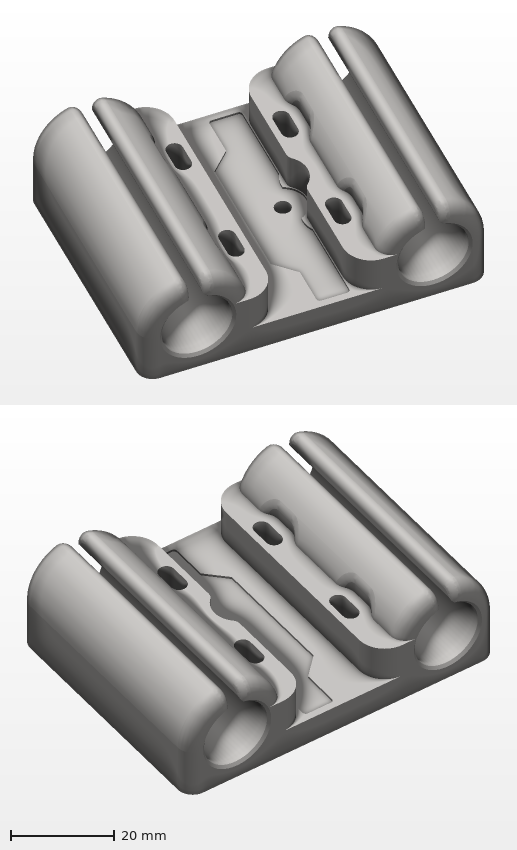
import cadquery as cq
import math

length_x = 56.8
width_y = 73.05
floor_z = 6.1
half_x = length_x / 2
half_y = width_y / 2

clip_radius = 11.6
bore_radius = 7.45
bore_chamfer = 0.6
axis_y = half_y - clip_radius
axis_z = 10.95
end_round = 3.5
mouth_width = 2.8
tip_outer_round = 1.75
tip_inner_round = 1.0

ledge_z = 14.1
ledge_face_y = 8.1
ledge_corner_radius = 6.0

slot_x = 12.9
slot_y = 11.25
slot_width = 3.5
slot_straight = 4.2
head_clearance_radius = 4.0
head_clearance_round = 3.0

hole_diameter = 3.5
hole_y = 5.1
relief_radius = 5.25
relief_corner_radius = 2.0

pocket_depth = 0.5
pocket_gap = 0.2
pocket_half_x = 26.9
pocket_corner_radius = 0.7
pocket_step_y = 0.95
pocket_bottom_y = -3.35
pocket_slope_outer_x = 18.1
pocket_slope_inner_x = 13.8
pocket_dip_outer_x = 8.25
pocket_dip_y = 7.1
pocket_dip_radius = 6.0

pick_margin = 0.1


def slot_prism(width, bottom_z, height):
    """Two stadium-shaped prisms centred on the screw slots of the +Y ledge."""
    return (
        cq.Workplane("XY", origin=(0, slot_y, bottom_z))
        .pushPoints([(-slot_x, 0), (slot_x, 0)])
        .slot2D(slot_straight + width, width)
        .extrude(height)
    )


def make_clip_body():
    """Solid arch over the tube axis with rounded ends and screw head clearances."""
    body = (
        cq.Workplane("YZ", origin=(-half_x, 0, 0))
        .moveTo(half_y, 0)
        .lineTo(half_y, axis_z)
        .threePointArc((axis_y, axis_z + clip_radius), (axis_y - clip_radius, axis_z))
        .lineTo(axis_y - clip_radius, 0)
        .close()
        .extrude(length_x)
    )
    body = body.faces("<X or >X").edges("not <Z").fillet(end_round)
    clearance = slot_prism(2 * head_clearance_radius, axis_z, clip_radius)
    body = body.cut(clearance)
    reach_x = half_x - end_round - pick_margin
    near_y = axis_y - clip_radius - pick_margin
    far_y = slot_y + head_clearance_radius + pick_margin
    rim_box = cq.selectors.BoxSelector(
        (-reach_x, near_y, axis_z + pick_margin),
        (reach_x, far_y, axis_z + clip_radius),
    )
    return body.edges(rim_box).edges("not |Z").fillet(head_clearance_round)


def make_ledge():
    """Raised block between the clip and the floor, rounded at its floor side."""
    depth = axis_y - ledge_face_y
    return (
        cq.Workplane("XY")
        .center(0, ledge_face_y + depth / 2)
        .rect(length_x, depth)
        .extrude(ledge_z)
        .edges("|Z and <Y")
        .fillet(ledge_corner_radius)
    )


def make_tube_space():
    """Bore and mouth as one solid, still sharp where they meet."""
    bore = (
        cq.Workplane("YZ", origin=(-half_x, axis_y, axis_z))
        .circle(bore_radius)
        .extrude(length_x)
    )
    mouth = (
        cq.Workplane("XY", origin=(0, axis_y, axis_z))
        .rect(length_x, mouth_width)
        .extrude(2 * clip_radius)
    )
    return bore.union(mouth)


def cut_tube_space(side):
    """Open the clip and round the outer and inner long edges of the two tips."""
    tube_space = make_tube_space()
    side = side.cut(tube_space)
    for wall_y in (axis_y - mouth_width / 2, axis_y + mouth_width / 2):
        wall = cq.selectors.BoxSelector(
            (-half_x, wall_y - pick_margin, axis_z),
            (half_x, wall_y + pick_margin, axis_z + clip_radius),
        )
        side = side.faces(wall).edges("|X and >Z").fillet(tip_outer_round)
    inner_edges = cq.selectors.BoxSelector(
        (-half_x / 2, axis_y - mouth_width, axis_z + bore_radius / 2),
        (half_x / 2, axis_y + mouth_width, axis_z + bore_radius),
    )
    return side.cut(tube_space.edges("|X").edges(inner_edges).fillet(tip_inner_round))


def chamfer_bore(side):
    """Bevel both ends of the bore with a cone that narrows inwards."""
    for direction in (-1, 1):
        cone = cq.Solid.makeCone(
            bore_radius + bore_chamfer,
            bore_radius,
            bore_chamfer,
            pnt=cq.Vector(direction * half_x, axis_y, axis_z),
            dir=cq.Vector(-direction, 0, 0),
        )
        side = side.cut(cq.Workplane(cone))
    return side


def make_side():
    """One complete clip with its ledge, on the +Y side."""
    side = make_clip_body().union(make_ledge())
    return chamfer_bore(cut_tube_space(side))


def cut_relief(side):
    """Cut a round hollow in the ledge face and round its two upright edges."""
    hollow = cq.Workplane("XY").center(0, hole_y).circle(relief_radius).extrude(ledge_z)
    upright_edges = cq.selectors.BoxSelector(
        (-relief_radius, ledge_face_y - pick_margin, 0),
        (relief_radius, ledge_face_y + pick_margin, ledge_z),
    )
    return side.cut(hollow).edges("|Z").edges(upright_edges).fillet(relief_corner_radius)


def make_base():
    """Floor plate between the clips, reaching under the rounded ledge corners."""
    plate_half_y = ledge_face_y + ledge_corner_radius
    return cq.Workplane("XY").rect(length_x, 2 * plate_half_y).extrude(floor_z)


def make_pocket():
    """Shallow label pocket following the relieved ledge with a small gap."""
    top_y = ledge_face_y - pocket_gap
    arc_radius = relief_radius - pocket_gap
    arc_x = math.sqrt(arc_radius**2 - (pocket_dip_y - hole_y) ** 2)
    outline = (
        cq.Workplane("XY", origin=(0, 0, floor_z - pocket_depth))
        .moveTo(-pocket_half_x, top_y)
        .lineTo(-pocket_dip_outer_x, top_y)
        .radiusArc((-arc_x, pocket_dip_y), -pocket_dip_radius)
        .threePointArc((0, hole_y + arc_radius), (arc_x, pocket_dip_y))
        .radiusArc((pocket_dip_outer_x, top_y), -pocket_dip_radius)
        .lineTo(pocket_half_x, top_y)
        .lineTo(pocket_half_x, pocket_step_y)
        .lineTo(pocket_slope_outer_x, pocket_step_y)
        .lineTo(pocket_slope_inner_x, pocket_bottom_y)
        .lineTo(-pocket_slope_inner_x, pocket_bottom_y)
        .lineTo(-pocket_slope_outer_x, pocket_step_y)
        .lineTo(-pocket_half_x, pocket_step_y)
        .close()
    )
    return outline.extrude(floor_z).edges("|Z and (<X or >X)").fillet(pocket_corner_radius)


def make_centre_hole():
    """Through hole in the floor, concentric with the ledge relief."""
    return cq.Workplane("XY").center(0, hole_y).circle(hole_diameter / 2).extrude(floor_z)


plus_y_side = make_side()
minus_y_side = plus_y_side.mirror("XZ")
result = cut_relief(plus_y_side).union(minus_y_side).union(make_base())
screw_slots = slot_prism(slot_width, 0, ledge_z)
result = result.cut(screw_slots).cut(screw_slots.mirror("XZ"))
result = result.cut(make_pocket()).cut(make_centre_hole())